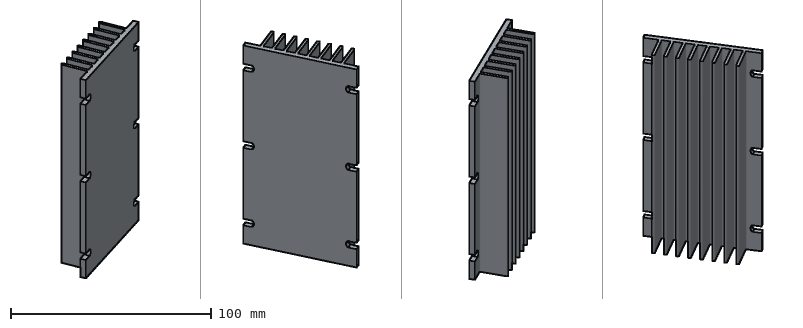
import cadquery as cq

depth = 17.8
width = 61.0
height = 116.8

plate_thickness = 3.0
fin_count = 8
fin_pitch = 6.2
fin_thickness = 1.6
root_fillet = 0.3

slot_width = 3.7
slot_depth = 5.7
slot_end_bulge = 1.3
slot_spacing = 45.7

plate_back = depth / 2
plate_face = plate_back - plate_thickness
fin_tip = -depth / 2
half_fin = fin_thickness / 2
half_slot = slot_width / 2


def make_plate():
    return cq.Workplane("XY").box(plate_thickness, width, height).translate(
        (plate_back - plate_thickness / 2, 0, 0)
    )


def make_fin(y):
    """Fin with a fully rounded tip and a fillet on each side of its root."""
    half_root = half_fin + root_fillet
    fillet_start = plate_face - root_fillet
    profile = (
        cq.Workplane("XY", origin=(0, y, -height / 2))
        .moveTo(plate_back, -half_root)
        .lineTo(plate_face, -half_root)
        .radiusArc((fillet_start, -half_fin), -root_fillet)
        .lineTo(fin_tip + half_fin, -half_fin)
        .threePointArc((fin_tip, 0), (fin_tip + half_fin, half_fin))
        .lineTo(fillet_start, half_fin)
        .radiusArc((plate_face, half_root), -root_fillet)
        .lineTo(plate_back, half_root)
        .close()
    )
    return profile.extrude(height)


def make_slot(side, z):
    """Cutter for a slot with a bowed end entering from the plate edge on the given side (+1 or -1)."""
    edge = side * width / 2
    arc_start = edge - side * (slot_depth - slot_end_bulge)
    slot_end = edge - side * slot_depth
    profile = (
        cq.Workplane("YZ", origin=(plate_face, 0, 0))
        .moveTo(edge, z - half_slot)
        .lineTo(arc_start, z - half_slot)
        .threePointArc((slot_end, z), (arc_start, z + half_slot))
        .lineTo(edge, z + half_slot)
        .close()
    )
    return profile.extrude(plate_thickness)


result = make_plate()

for index in range(fin_count):
    result = result.union(make_fin((index - (fin_count - 1) / 2) * fin_pitch))

for side in (-1, 1):
    for row in (-1, 0, 1):
        result = result.cut(make_slot(side, row * slot_spacing))